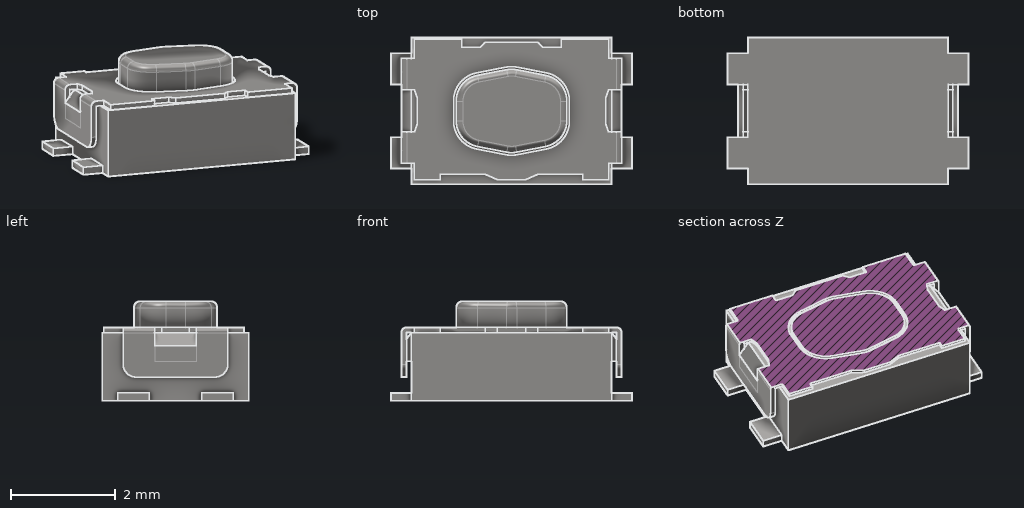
import cadquery as cq


body_length = 3.82
body_width = 2.8
body_height = 1.3
half_body = body_length / 2

overall_length = 4.6
lead_width = 0.6
lead_thickness = 0.15
lead_offset_y = 0.8

sheet = 0.1
cover_top = body_height + sheet
cover_half_length = 1.85
cover_back_y = 1.37
cover_front_y = 1.31
notch_y = 1.21
tab_tip_y = 1.31
back_notch_half = 0.95
back_tab_root_half = 0.6
back_tab_tip_half = 0.5
front_notch_half = 1.36
front_tab_root_half = 0.5
front_tab_tip_half = 0.27

flap_outer_x = 2.1
flap_width = 2.0
flap_bottom = 0.45
flap_corner_radius = 0.25
bend_radius = 0.1

window_width = 0.8
window_bottom = 0.75
window_root_x = 1.8
window_root_width = 0.52
latch_slope_bottom = 1.05

button_top = 1.9
button_core_half_length = 0.555
button_core_shoulder = 0.187
button_core_apex = 0.295
button_offset = 0.5
button_edge_fillet = 0.125
opening_clearance = 0.05


def both_ends(solid):
    """Return the solid joined with its mirror image across the YZ plane."""
    return solid.union(solid.mirror("YZ"))


def block(x_min, x_max, width, z_min, z_max):
    """Box centred on Y = 0 between the given X and Z limits."""
    return cq.Workplane("XY").box(
        x_max - x_min, width, z_max - z_min, centered=(False, True, False)
    ).translate((x_min, 0, z_min))


def make_body():
    return block(-half_body, half_body, body_width, 0, body_height)


def make_leads():
    lead = block(half_body, overall_length / 2, lead_width, 0, lead_thickness)
    front = lead.translate((0, -lead_offset_y, 0))
    back = lead.translate((0, lead_offset_y, 0))
    return both_ends(front.union(back))


def make_plate():
    """Flat cover with a notch and a tapered tab on its front and back edges."""
    right_edge = [
        (front_tab_tip_half, -tab_tip_y),
        (front_tab_root_half, -notch_y),
        (front_notch_half, -notch_y),
        (front_notch_half, -cover_front_y),
        (cover_half_length, -cover_front_y),
        (cover_half_length, cover_back_y),
        (back_notch_half, cover_back_y),
        (back_notch_half, notch_y),
        (back_tab_root_half, notch_y),
        (back_tab_tip_half, tab_tip_y),
    ]
    left_edge = [(-x, y) for x, y in reversed(right_edge)]
    outline = cq.Workplane("XY").workplane(offset=body_height).polyline(right_edge + left_edge)
    return outline.close().extrude(sheet)


def make_flap():
    """Flap at the +X end: bent at the top, with rounded lower corners."""
    outer = block(window_root_x, flap_outer_x, flap_width, flap_bottom, cover_top)
    outer = outer.edges("|Y and >X and >Z").fillet(bend_radius)
    outer = outer.edges("|X and <Z").fillet(flap_corner_radius)
    inside = block(window_root_x, flap_outer_x - sheet, flap_width, flap_bottom, body_height)
    return outer.cut(inside)


def make_window():
    """Cutter for the +X flap window and the tapered notch it leaves in the plate."""
    opening = block(cover_half_length, flap_outer_x, window_width, window_bottom, cover_top)
    taper = (
        cq.Workplane("XY")
        .workplane(offset=body_height)
        .polyline([
            (cover_half_length, -window_width / 2),
            (cover_half_length, window_width / 2),
            (window_root_x, window_root_width / 2),
            (window_root_x, -window_root_width / 2),
        ])
        .close()
        .extrude(sheet)
    )
    return opening.union(taper)


def make_latch():
    """Wedge-topped latch on the +X body wall, flush with the outside of the flap."""
    return (
        cq.Workplane("XZ")
        .polyline([
            (half_body, window_bottom),
            (flap_outer_x, window_bottom),
            (flap_outer_x, latch_slope_bottom),
            (half_body, body_height),
        ])
        .close()
        .extrude(window_width / 2, both=True)
    )


def rounded_hexagon(offset, height):
    """Prism standing on the body top whose outline is the button core grown by offset."""
    core = [
        (button_core_half_length, -button_core_shoulder),
        (button_core_half_length, button_core_shoulder),
        (0, button_core_apex),
        (-button_core_half_length, button_core_shoulder),
        (-button_core_half_length, -button_core_shoulder),
        (0, -button_core_apex),
    ]
    outline = cq.Workplane("XY").workplane(offset=body_height).polyline(core).close()
    return outline.offset2D(offset, "arc").extrude(height)


def make_button():
    button = rounded_hexagon(button_offset, button_top - body_height)
    return button.faces(">Z").edges().fillet(button_edge_fillet)


def make_cover():
    opening = rounded_hexagon(button_offset + opening_clearance, sheet)
    cover = make_plate().union(both_ends(make_flap()))
    window = make_window()
    return cover.cut(window).cut(window.mirror("YZ")).cut(opening)


switch = make_body().union(make_leads()).union(make_cover()).union(make_button())

result = switch.union(both_ends(make_latch()), clean=False)